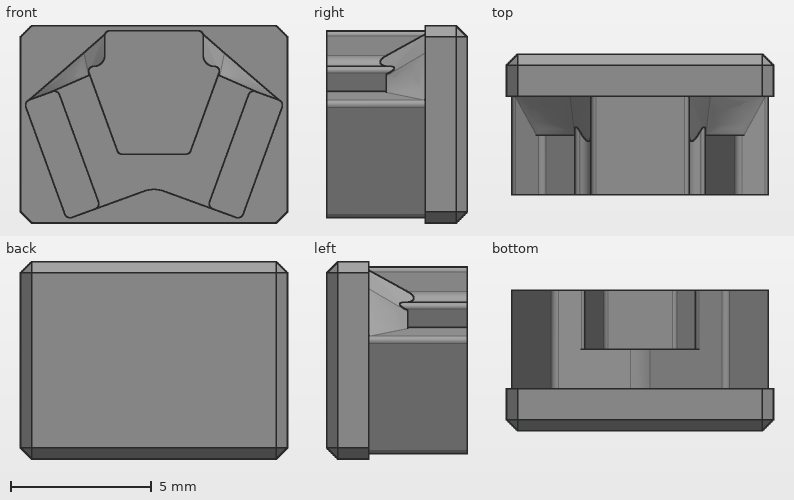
import cadquery as cq
import math

FLANGE_WIDTH = 9.49
FLANGE_HEIGHT = 7.01
FLANGE_THICKNESS = 1.5
FLANGE_BEVEL = 0.4

TOTAL_DEPTH = 5.0
PLUG_DEPTH = TOTAL_DEPTH - FLANGE_THICKNESS
WEB_DEPTH = 1.39
TILT = math.radians(20)

BOSS_TOP = 3.325
BOSS_BOTTOM = -1.055
BOSS_TOP_HALF_WIDTH = 1.745
BOSS_BOTTOM_HALF_WIDTH = 1.26
BOSS_CORNER_RADIUS = 0.17
SHELF_HEIGHT = 2.06
SHELF_ROOT_RADIUS = 0.4

ARM_CORNER_X = 3.1
ARM_CORNER_Z = -3.372
ARM_LENGTH = 4.44
ARM_WIDTH = 1.272
ARM_CORNER_RADIUS = 0.2

WEB_NOTCH_RADIUS = 1.0

SHOULDER_DEPTH = 1.65
FOOT_ON_ARM = 0.19
CREST_ON_ARM = 1.0
FOOT_BEND = (2.49, 2.545)
FOOT_AT_BOSS = (1.70, 3.24)
CREST_BEND = (2.33, 1.735)
CREST_AT_BOSS = (1.70, 2.49)
SHOULDER_CORE = [(1.20, 2.50), (1.20, 0.0)]


def mirror_x(points):
    """Reflect points across the YZ plane, reversed so an outline can continue."""
    return [(-x, z) for x, z in reversed(points)]


def prism(points, depth):
    """Extrude an XZ outline forward (toward -Y) from the flange face."""
    return cq.Workplane("XZ").polyline(points).close().extrude(depth)


def arm_point(across, along):
    """Point on the right arm, inward and upward from its lower outer corner."""
    x = ARM_CORNER_X - across * math.cos(TILT) + along * math.sin(TILT)
    z = ARM_CORNER_Z + across * math.sin(TILT) + along * math.cos(TILT)
    return (x, z)


def shelf_tip():
    """Sharp corner where the level boss shelf meets the tilted flank."""
    x = BOSS_BOTTOM_HALF_WIDTH + (SHELF_HEIGHT - BOSS_BOTTOM) * math.tan(TILT)
    return (x, SHELF_HEIGHT)


def edges_at(point):
    """Selector for the front-to-back edges at an XZ point and at its mirror image."""
    x, z = point
    reach = 0.05
    right = cq.selectors.BoxSelector(
        (x - reach, -PLUG_DEPTH, z - reach), (x + reach, 0, z + reach)
    )
    left = cq.selectors.BoxSelector(
        (-x - reach, -PLUG_DEPTH, z - reach), (-x + reach, 0, z + reach)
    )
    return cq.selectors.SumSelector(right, left)


def make_flange():
    block = cq.Workplane("XZ").rect(FLANGE_WIDTH, FLANGE_HEIGHT).extrude(-FLANGE_THICKNESS)
    return block.edges("|Y or >Y").chamfer(FLANGE_BEVEL)


def make_boss():
    shelf_root = (BOSS_TOP_HALF_WIDTH, SHELF_HEIGHT)
    half = [
        (BOSS_BOTTOM_HALF_WIDTH, BOSS_BOTTOM),
        shelf_tip(),
        shelf_root,
        (BOSS_TOP_HALF_WIDTH, BOSS_TOP),
    ]
    boss = prism(half + mirror_x(half), PLUG_DEPTH)
    boss = boss.edges(edges_at(shelf_root)).fillet(SHELF_ROOT_RADIUS)
    for corner in (half[0], half[1], half[3]):
        boss = boss.edges(edges_at(corner)).fillet(BOSS_CORNER_RADIUS)
    return boss


def make_arm():
    corners = [
        arm_point(0, 0),
        arm_point(ARM_WIDTH, 0),
        arm_point(ARM_WIDTH, ARM_LENGTH),
        arm_point(0, ARM_LENGTH),
    ]
    return prism(corners, PLUG_DEPTH).edges("|Y").fillet(ARM_CORNER_RADIUS)


def make_web():
    """Shallow plate joining both arms to the boss, with a rounded notch below."""
    notch_apex = (0, ARM_CORNER_Z + ARM_CORNER_X * math.tan(TILT))
    half = [
        arm_point(ARM_WIDTH / 2, 0),
        arm_point(CREST_ON_ARM, ARM_LENGTH),
        CREST_BEND,
    ]
    web = prism([notch_apex] + half + mirror_x(half), WEB_DEPTH)
    return web.edges(edges_at(notch_apex)).fillet(WEB_NOTCH_RADIUS)


def make_shoulder():
    """Ruled slope from the flange up to the web, running on a little over the boss shelf."""
    foot = [arm_point(FOOT_ON_ARM, ARM_LENGTH), FOOT_BEND, FOOT_AT_BOSS]
    crest = [arm_point(CREST_ON_ARM, ARM_LENGTH), CREST_BEND, CREST_AT_BOSS]
    overrun = SHOULDER_DEPTH / WEB_DEPTH
    end = [
        (foot_x + (crest_x - foot_x) * overrun, foot_z + (crest_z - foot_z) * overrun)
        for (foot_x, foot_z), (crest_x, crest_z) in zip(foot, crest)
    ]
    slope = (
        cq.Workplane("XZ")
        .polyline(foot + SHOULDER_CORE)
        .close()
        .workplane(offset=SHOULDER_DEPTH)
        .polyline(end + SHOULDER_CORE)
        .close()
        .loft(ruled=True)
    )
    web_layer = cq.Workplane("XZ").rect(FLANGE_WIDTH, FLANGE_HEIGHT).extrude(WEB_DEPTH)
    boss_envelope = prism(
        [
            (0, BOSS_BOTTOM),
            (BOSS_BOTTOM_HALF_WIDTH, BOSS_BOTTOM),
            shelf_tip(),
            (BOSS_TOP_HALF_WIDTH, BOSS_TOP),
            (0, BOSS_TOP),
        ],
        PLUG_DEPTH,
    )
    return slope.intersect(web_layer.union(boss_envelope))


result = make_flange().union(make_web()).union(make_boss())
for side_feature in (make_arm(), make_shoulder()):
    result = result.union(side_feature).union(side_feature.mirror("YZ"))